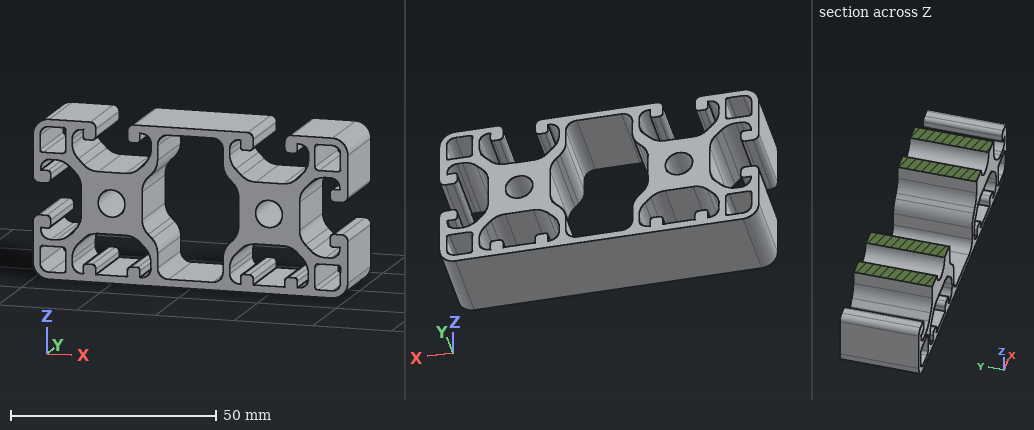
import cadquery as cq
import math

cell = 40.0
width = 2 * cell
length = 20.0
half_cell = cell / 2

corner_radius = 4.0
slot_wall = 2.0
web = 1.7
core_size = 15.5
core_half = core_size / 2
bore_diameter = 6.8
diagonal_offset = 2.2
bend_radius = 5.0

slot_half_width = 10.0
opening_half_width = 4.0
lip_width = 3.2
lip_depth = 4.5
slot_end_radius = 2.5
lip_mouth_radius = 1.5
lip_tip_radius = 1.0
lip_inner_radius = 0.7

hollow_wall = 1.8
hollow_size = half_cell - slot_half_width - web - hollow_wall
hollow_outer_radius = corner_radius - hollow_wall
hollow_inner_radius = 1.0
hollow_side_radius = 0.7

central_hollow_radius = 2.7

cut_margin = 0.8


def toward(start, end, distance):
    """Point at a distance from start on the straight line to end."""
    ratio = distance / math.dist(start, end)
    return (start[0] + ratio * (end[0] - start[0]), start[1] + ratio * (end[1] - start[1]))


def corner_points(before, corner, after, radius):
    """Start, middle and end of the arc of a given radius that rounds a corner."""
    angle_in = math.atan2(before[1] - corner[1], before[0] - corner[0])
    angle_out = math.atan2(after[1] - corner[1], after[0] - corner[0])
    half_angle = math.acos(math.cos(angle_in - angle_out)) / 2
    setback = radius / math.tan(half_angle)
    start = toward(corner, before, setback)
    end = toward(corner, after, setback)
    chord_middle = ((start[0] + end[0]) / 2, (start[1] + end[1]) / 2)
    middle = toward(corner, chord_middle, radius / math.sin(half_angle) - radius)
    return start, middle, end


def prism(corners):
    """Extrude an XZ outline, given as (x, z, corner radius), over the full length."""
    outline = cq.Workplane("XZ")
    pen_down = False
    for index, (x, z, radius) in enumerate(corners):
        before = corners[index - 1][:2]
        after = corners[(index + 1) % len(corners)][:2]
        arc = corner_points(before, (x, z), after, radius) if radius else ((x, z),)
        outline = outline.lineTo(*arc[0]) if pen_down else outline.moveTo(*arc[0])
        pen_down = True
        if radius:
            outline = outline.threePointArc(arc[1], arc[2])
    return outline.close().extrude(length / 2, both=True)


def mirrored(half_outline):
    """Complete an outline that is symmetric about the Z axis."""
    return half_outline + [(-x, z, radius) for x, z, radius in reversed(half_outline)]


def slot(is_open):
    """T-slot on the +Z side of a cell centred on the origin; a closed one keeps its outer wall."""
    ceiling = half_cell - slot_wall
    lip_back = opening_half_width + lip_width
    lip_tip = half_cell - lip_depth
    half_outline = [
        (core_half - diagonal_offset, core_half, bend_radius),
        (slot_half_width, slot_half_width + diagonal_offset, bend_radius),
        (slot_half_width, ceiling, slot_end_radius),
        (lip_back, ceiling, 0),
        (lip_back, lip_tip, lip_inner_radius),
        (opening_half_width, lip_tip, lip_tip_radius),
    ]
    if is_open:
        half_outline += [
            (opening_half_width, half_cell, lip_mouth_radius),
            (lip_back, half_cell, 0),
            (lip_back, half_cell + cut_margin, 0),
        ]
    else:
        half_outline += [(opening_half_width, ceiling, 0)]
    return prism(mirrored(half_outline))


def corner_hollow(side, level):
    """Square hollow in a corner of a centred cell; side and level are the signs of X and Z."""
    far = half_cell - hollow_wall
    near = far - hollow_size
    corners = [
        (near, near, hollow_inner_radius),
        (far, near, hollow_side_radius),
        (far, far, hollow_outer_radius),
        (near, far, hollow_side_radius),
    ]
    return prism([(side * x, level * z, radius) for x, z, radius in corners])


def central_hollow():
    """Hollow between the two cores, wider at mid height."""
    wall_x = half_cell - slot_half_width - web
    core_x = half_cell - core_half
    ceiling = half_cell - slot_wall
    shoulder_z = half_cell - wall_x - diagonal_offset
    right_side = [
        (core_x, core_half - diagonal_offset, bend_radius),
        (wall_x, shoulder_z, bend_radius),
        (wall_x, ceiling, central_hollow_radius),
    ]
    lower_right = [(x, -z, radius) for x, z, radius in reversed(right_side)]
    return prism(mirrored(lower_right + right_side))


def turned(solid, angle):
    """Turn a solid about the Y axis; +90 degrees takes +Z to +X."""
    return solid.rotate((0, 0, 0), (0, 1, 0), angle)


body = cq.Workplane("XY").box(width, length, cell).edges("|Y").fillet(corner_radius)
body = body.cut(central_hollow())

bore = cq.Workplane("XZ").circle(bore_diameter / 2).extrude(length / 2, both=True)
for side in (-1, 1):
    cell_cuts = [
        bore,
        slot(is_open=True),
        turned(slot(is_open=False), 180),
        turned(slot(is_open=True), side * 90),
        corner_hollow(side, 1),
        corner_hollow(side, -1),
    ]
    for cut in cell_cuts:
        body = body.cut(cut.translate((side * half_cell, 0, 0)))

result = body